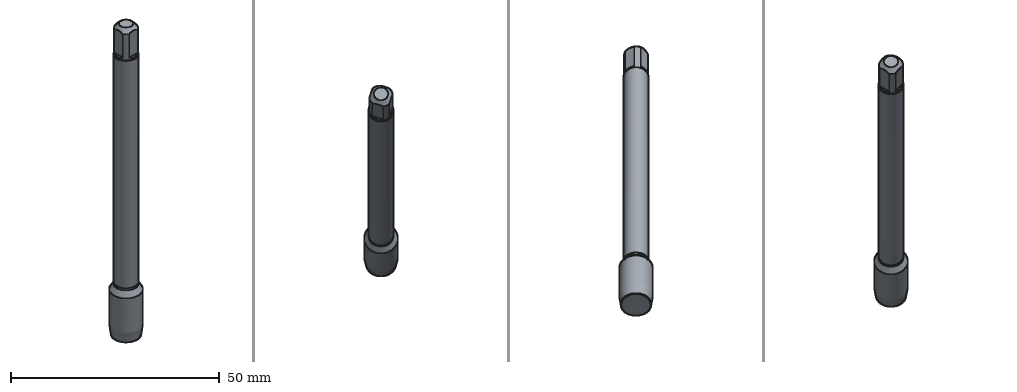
import cadquery as cq

total_length = 90.1
thread_diameter = 8.1
shank_diameter = 6.0
drive_diameter = 5.8

lead_tip_diameter = 7.4
lead_chamfer = 0.2
lead_height = 3.15
cone_base_height = 13.15
cone_top_height = 14.8
head_height = 15.4

shoulder_height = 81.3
shoulder_chamfer = (shank_diameter - drive_diameter) / 2
across_flats = 5.05
flat_bottom_height = 82.1
tip_diameter = 3.4


def revolved(profile):
    """Revolve an outline of (radius, height) points around the Z axis."""
    return cq.Workplane("XZ").polyline(profile).close().revolve(360, (0, 0), (0, 1))


def make_head():
    """Cutting head, ending at the top in a neck as wide as the shank."""
    return revolved([
        (0, 0),
        (lead_tip_diameter / 2 - lead_chamfer, 0),
        (lead_tip_diameter / 2, lead_chamfer),
        (thread_diameter / 2, lead_height),
        (thread_diameter / 2, cone_base_height),
        (shank_diameter / 2, cone_top_height),
        (shank_diameter / 2, head_height),
        (0, head_height),
    ])


def make_drive_envelope():
    """Square drive prism whose foot flares outward at 45 degrees into a wide square block."""
    flare = shank_diameter - across_flats
    block_width = across_flats + 2 * flare
    flare_bottom = flat_bottom_height - flare
    prism = cq.Workplane("XY", origin=(0, 0, flat_bottom_height)).rect(across_flats, across_flats)
    prism = prism.extrude(total_length - flat_bottom_height)
    foot = cq.Workplane("XY").rect(block_width, block_width).extrude(flare_bottom)
    foot = foot.faces(">Z").workplane().rect(block_width, block_width)
    foot = foot.workplane(offset=flare).rect(across_flats, across_flats).loft(ruled=True, combine=True)
    return prism.union(foot)


def make_shank():
    """Round shank standing on the head, with a square drive chamfered at 45 degrees at its top."""
    chamfer_height = (drive_diameter - tip_diameter) / 2
    blank = revolved([
        (0, head_height),
        (shank_diameter / 2, head_height),
        (shank_diameter / 2, shoulder_height),
        (drive_diameter / 2, shoulder_height + shoulder_chamfer),
        (drive_diameter / 2, total_length - chamfer_height),
        (tip_diameter / 2, total_length),
        (0, total_length),
    ])
    return blank.intersect(make_drive_envelope())


head = make_head()
shank = make_shank()

result = cq.Compound.makeCompound([head.val(), shank.val()])